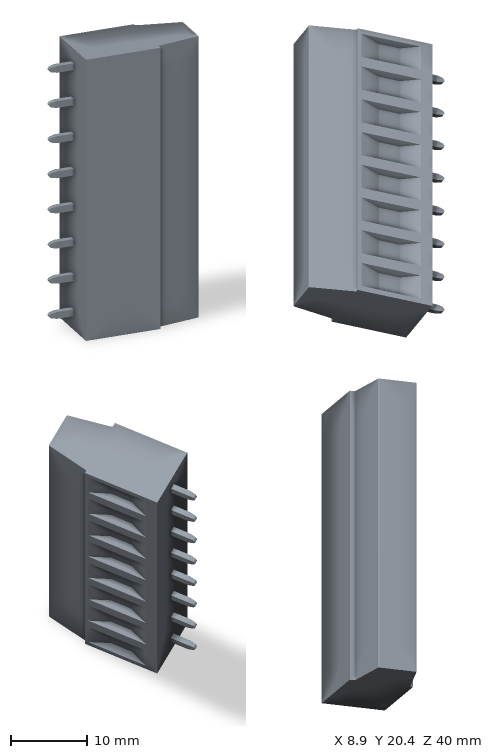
import cadquery as cq

POLE_COUNT = 8
PITCH = 5.0
HEIGHT = POLE_COUNT * PITCH

WIDTH = 8.9
DEPTH = 16.85
SHOULDER_Y = 10.65
LEFT_SHOULDER = 0.45
RIGHT_SHOULDER = 0.7
LEFT_BACK_INSET = 1.8
RIGHT_BACK_INSET = 1.7
EDGE_RADIUS = 0.2

FUNNEL_DEPTH = 0.95
MOUTH_START_Y = 1.65
MOUTH_END_Y = 10.1
MOUTH_HEIGHT = 3.5
FLOOR_START_Y = 4.25
FLOOR_END_Y = 7.3
FLOOR_HEIGHT = 2.8

PIN_LENGTH = 3.5
PIN_WIDTH = 0.8
PIN_HEIGHT = 0.95
PIN_ROOT = 0.4
TIP_LENGTH = 1.0
TIP_WIDTH = 0.55
TIP_HEIGHT = 0.55
TIP_CHAMFER = 0.2


def make_housing():
    """Extruded body whose back part tapers inward from two shoulders."""
    left = -WIDTH / 2
    right = WIDTH / 2
    taper = [
        (right - RIGHT_SHOULDER, SHOULDER_Y),
        (right - RIGHT_BACK_INSET, DEPTH),
        (left + LEFT_BACK_INSET, DEPTH),
        (left + LEFT_SHOULDER, SHOULDER_Y),
    ]
    profile = [
        (left, 0),
        (right, 0),
        (right, SHOULDER_Y),
        *taper,
        (left, SHOULDER_Y),
    ]
    body = cq.Workplane("XY").polyline(profile).close().extrude(HEIGHT)

    for x, y in taper:
        nearest = cq.selectors.NearestToPointSelector((x, y, HEIGHT / 2))
        body = body.edges("|Z").edges(nearest).fillet(EDGE_RADIUS)
    return body


def make_funnel(z):
    """Cutting body of one wire funnel centred at height z."""
    mouth_y = (MOUTH_START_Y + MOUTH_END_Y) / 2
    floor_y = (FLOOR_START_Y + FLOOR_END_Y) / 2
    return (
        cq.Workplane("YZ", origin=(-WIDTH / 2, mouth_y, z))
        .rect(MOUTH_END_Y - MOUTH_START_Y, MOUTH_HEIGHT)
        .workplane(offset=FUNNEL_DEPTH)
        .center(floor_y - mouth_y, 0)
        .rect(FLOOR_END_Y - FLOOR_START_Y, FLOOR_HEIGHT)
        .loft(ruled=True)
    )


def make_pin(z):
    """Rectangular pin centred at height z with a tapered, chamfered tip."""
    shank_length = PIN_LENGTH - TIP_LENGTH
    shank = (
        cq.Workplane("XZ", origin=(0, PIN_ROOT, z))
        .rect(PIN_WIDTH, PIN_HEIGHT)
        .extrude(PIN_ROOT + shank_length)
    )
    tip = (
        cq.Workplane("XZ", origin=(0, -shank_length, z))
        .rect(PIN_WIDTH, PIN_HEIGHT)
        .workplane(offset=TIP_LENGTH)
        .rect(TIP_WIDTH, TIP_HEIGHT)
        .loft(ruled=True)
    )
    tip = tip.faces("<Y").edges("|X").chamfer(TIP_CHAMFER)
    return shank.union(tip)


result = make_housing()
for pole in range(POLE_COUNT):
    pole_z = (pole + 0.5) * PITCH
    result = result.cut(make_funnel(pole_z))
    result = result.union(make_pin(pole_z))